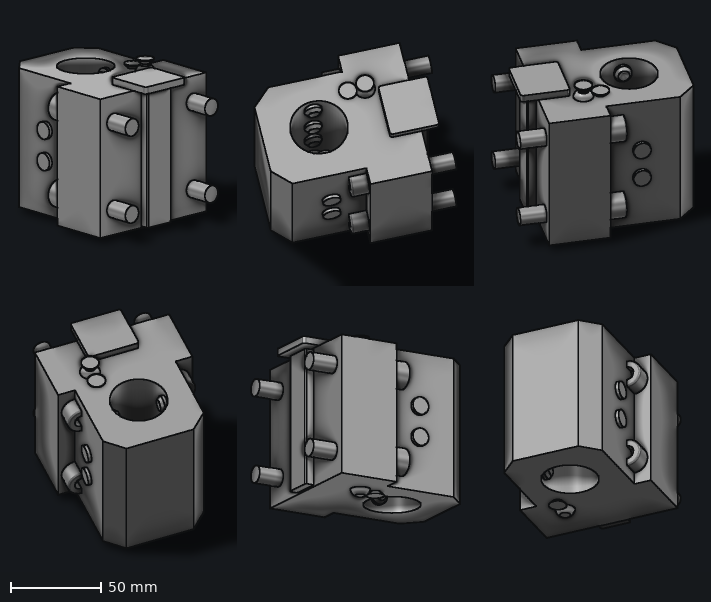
import cadquery as cq

body_height = 80.0
flange_width = 80.0
nose_width = 60.0
shoulder_x = 52.0
flange_end_x = 87.0
corner_chamfer = 10.0

bore_x = 32.0
bore_dia = 32.0
pin_dia = 10.0
pin_shoulder_y = 14.0
pin_tip_y = 11.8
pin_tip_dia = 6.5
pin_cup_depth = 2.7
proud_pin_heights = (31.0, 49.0)
proud_pin_outer_y = 32.0
sunk_pin_end_distance = 9.0
sunk_pin_heights = (sunk_pin_end_distance, body_height - sunk_pin_end_distance)
sunk_pin_outer_y = 27.9

bolt_y = nose_width / 2
bolt_edge_distance = 15.0
bolt_heights = (bolt_edge_distance, body_height - bolt_edge_distance)
bolt_end_x = 102.0
bolt_dia = 10.0
head_dia = 16.0
head_length = 10.0
head_fillet = 0.8
socket_dia = 8.0
socket_depth = 5.0
socket_tip = 2.3

fitting_y = 17.0
plug_x = 52.3
nozzle_x = 62.0
ball_radius = 5.8
ball_sink = 1.4
ball_protrusion = 3.6
screw_neck_dia = 5.3
screw_head_dia = 10.0
top_screw_rim = 0.5
bottom_screw_rim = 0
top_plug_height = 2.7
bottom_plug_height = 2.2
nozzle_screw_height = 7.5

plate_x = 69.1
plate_length = 27.9
plate_width = 30.0
plate_thickness = 4.1
plate_corner_radius = 1.5

key_length = 77.9
key_width = 18.0
key_protrusion = 5.2
key_chamfer = 0.8

overlap = 2.0


def make_block():
    half_nose = nose_width / 2
    half_flange = flange_width / 2
    upper_half = [
        (0, half_nose - corner_chamfer),
        (corner_chamfer, half_nose),
        (shoulder_x, half_nose),
        (shoulder_x, half_flange),
        (flange_end_x, half_flange),
    ]
    lower_half = [(x, -y) for x, y in reversed(upper_half)]
    outline = cq.Workplane("XY").polyline(upper_half + lower_half).close()
    block = outline.extrude(body_height)
    bore = cq.Workplane("XY").center(bore_x, 0).circle(bore_dia / 2).extrude(body_height)
    return block.cut(bore)


def make_bolt(y, z):
    """Bolt along X: rounded head with a cone-bottomed socket, and a plain shank."""
    head_x = shoulder_x - head_length
    head = cq.Workplane("YZ", origin=(head_x, y, z))
    head = head.circle(head_dia / 2).extrude(head_length).faces("<X").edges().fillet(head_fillet)
    socket_profile = [
        (0, 0),
        (0, socket_dia / 2),
        (socket_depth, socket_dia / 2),
        (socket_depth + socket_tip, 0),
    ]
    socket = cq.Workplane("XY").polyline(socket_profile).close().revolve(360, (0, 0, 0), (1, 0, 0))
    head = head.cut(socket.translate((head_x, y, z)))

    shank_start = flange_end_x - overlap
    shank = cq.Workplane("YZ", origin=(shank_start, y, z)).circle(bolt_dia / 2)
    return head, shank.extrude(bolt_end_x - shank_start)


def make_pin(z, outer_y):
    """Clamping pin on the +Y side, with a tapered cup point inside the bore."""
    profile = [
        (0, outer_y),
        (pin_dia / 2, outer_y),
        (pin_dia / 2, pin_shoulder_y),
        (pin_tip_dia / 2, pin_tip_y),
        (0, pin_tip_y + pin_cup_depth),
    ]
    pin = cq.Workplane("XY").polyline(profile).close().revolve(360, (0, 0, 0), (0, 1, 0))
    return pin.translate((bore_x, 0, z))


def make_screw(x, top, rim):
    """Countersunk screw standing out of the top face to the height `top` above it."""
    neck = screw_neck_dia / 2
    head = screw_head_dia / 2
    cone_top = top - rim
    cone_base = cone_top - (head - neck)
    profile = [
        (0, -overlap),
        (neck, -overlap),
        (neck, cone_base),
        (head, cone_top),
    ]
    if rim > 0:
        profile.append((head, top))
    profile.append((0, top))
    screw = cq.Workplane("XZ").polyline(profile).close().revolve(360, (0, 0, 0), (0, 1, 0))
    return screw.translate((x, fitting_y, body_height))


def make_ball():
    """Ball nozzle in the top face, cut flat at its crown."""
    ball = cq.Workplane("XY").sphere(ball_radius).translate((0, 0, -ball_sink))
    keep_size = 2 * ball_radius
    keep = cq.Workplane("XY").workplane(offset=ball_protrusion).rect(keep_size, keep_size)
    ball = ball.intersect(keep.extrude(-2 * keep_size))
    return ball.translate((nozzle_x, fitting_y, body_height))


def to_bottom(piece):
    """Mirror a top-face piece onto the bottom face."""
    return piece.mirror("XY", (0, 0, body_height / 2))


def make_plate():
    plate = cq.Workplane("XY").box(plate_length, plate_width, plate_thickness, centered=(False, True, False))
    return plate.edges("|Z").fillet(plate_corner_radius).translate((plate_x, 0, body_height))


def make_key():
    length = key_protrusion + overlap
    key = cq.Workplane("XY").box(length, key_width, key_length, centered=(False, True, True))
    key = key.faces(">X").edges("|Z").chamfer(key_chamfer)
    return key.translate((flange_end_x - overlap, 0, body_height / 2))


result = make_block()
for z in bolt_heights:
    for piece in make_bolt(-bolt_y, z):
        result = result.union(piece).union(piece.mirror("XZ"))
pins = [make_pin(z, proud_pin_outer_y) for z in proud_pin_heights]
pins += [make_pin(z, sunk_pin_outer_y) for z in sunk_pin_heights]
for pin in pins:
    result = result.union(pin).union(pin.mirror("XZ"))

ball = make_ball()
top_fittings = [
    ball,
    make_screw(nozzle_x, nozzle_screw_height, top_screw_rim),
    make_screw(plug_x, top_plug_height, top_screw_rim),
]
bottom_fittings = [
    to_bottom(ball),
    to_bottom(make_screw(plug_x, bottom_plug_height, bottom_screw_rim)),
]
for piece in top_fittings + bottom_fittings + [make_plate(), make_key()]:
    result = result.union(piece)